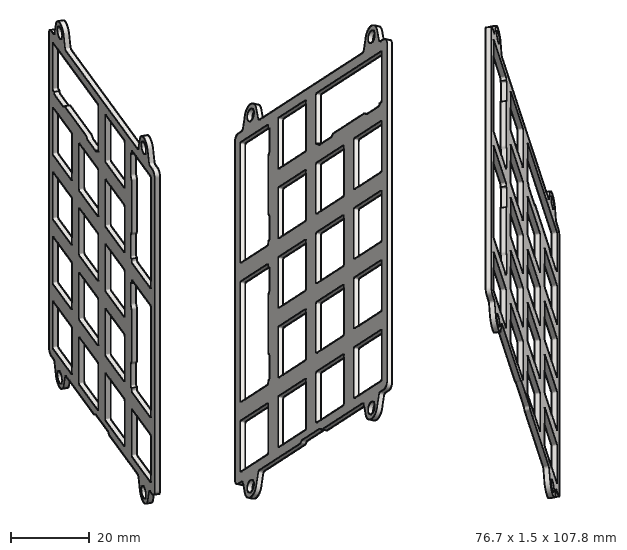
import cadquery as cq
import math

plate_width = 76.7
plate_height = 96.0
overall_height = 107.8
thickness = 1.5
plate_corner_radius = 1.7

columns = 4
rows = 5
key_pitch = 19.1
key_window = 14.0
window_corner_radius = 0.4

notch_spacing = 23.8
notch_length = 7.1
notch_corner_radius = 0.5

ear_spacing = 60.9
ear_radius = 3.0
ear_hole_diameter = 3.3
ear_side_angle = math.radians(17)
ear_root_radius = 0.8

relief_length = 9.9

recess_depth = 0.6
step_radius = 1.0
step_width = 2 * math.sqrt(step_radius**2 - (step_radius - recess_depth / 2) ** 2)

half_height = plate_height / 2
ear_center_z = overall_height / 2 - ear_radius
edge_tolerance = 0.05


def block(length, height, x=0.0, z=0.0):
    """Rectangular block as thick as the plate, centred at (x, z)."""
    return cq.Workplane("XY").box(length, thickness, height).translate((x, 0, z))


def grid_position(column, row):
    """Centre of a grid cell; columns count from the left and rows from the top."""
    x = (column - (columns - 1) / 2) * key_pitch
    z = ((rows - 1) / 2 - row) * key_pitch
    return x, z


def round_edges_at_height(body, z, x_min, x_max, radius):
    """Round the edges through the thickness that lie at height z between x_min and x_max."""
    corner = (x_min - edge_tolerance, -thickness, z - edge_tolerance)
    opposite = (x_max + edge_tolerance, thickness, z + edge_tolerance)
    return body.edges("|Y").edges(cq.selectors.BoxSelector(corner, opposite)).fillet(radius)


def make_ear():
    """Top ear at x = 0, with a round tip and tapered sides, and half its width at the root."""
    tangent_x = ear_radius * math.cos(ear_side_angle)
    tangent_z = ear_center_z + ear_radius * math.sin(ear_side_angle)
    root_x = tangent_x + (tangent_z - half_height) * math.tan(ear_side_angle)
    buried_z = half_height - plate_corner_radius
    ear = (
        cq.Workplane("XZ")
        .moveTo(-root_x, buried_z)
        .lineTo(-root_x, half_height)
        .lineTo(-tangent_x, tangent_z)
        .threePointArc((0, overall_height / 2), (tangent_x, tangent_z))
        .lineTo(root_x, half_height)
        .lineTo(root_x, buried_z)
        .close()
        .extrude(thickness / 2, both=True)
    )
    return ear, root_x


def make_plate():
    """Rounded plate with four ears blended into its top and bottom edges."""
    plate = block(plate_width, plate_height).edges("|Y").fillet(plate_corner_radius)
    top_ear, root_x = make_ear()
    bottom_ear = top_ear.mirror("XY")
    ear_positions = (-ear_spacing / 2, ear_spacing / 2)
    for x in ear_positions:
        plate = plate.union(top_ear.translate((x, 0, 0)))
        plate = plate.union(bottom_ear.translate((x, 0, 0)))
    for x in ear_positions:
        for z in (-half_height, half_height):
            plate = round_edges_at_height(plate, z, x - root_x, x + root_x, ear_root_radius)
    holes = (
        cq.Workplane("XZ")
        .rect(ear_spacing, 2 * ear_center_z, forConstruction=True)
        .vertices()
        .circle(ear_hole_diameter / 2)
        .extrude(thickness, both=True)
    )
    return plate.cut(holes)


def smooth_half_recess(length):
    """Half of a recess sunk below z = 0, from its middle at x = 0 to an S-shaped step on the right."""
    step_x = length / 2
    return (
        cq.Workplane("XZ")
        .moveTo(0, -recess_depth)
        .lineTo(step_x - step_width / 2, -recess_depth)
        .tangentArcPoint((step_x, -recess_depth / 2), relative=False)
        .tangentArcPoint((step_x + step_width / 2, 0), relative=False)
        .lineTo(step_x + step_width / 2, recess_depth)
        .lineTo(0, recess_depth)
        .close()
        .extrude(thickness / 2, both=True)
    )


def cut_bottom_relief(plate):
    """Shallow recess in the middle of the bottom edge, with a smooth step at each end."""
    half_relief = smooth_half_recess(relief_length).mirror("XY")
    relief = half_relief.union(half_relief.mirror("YZ")).translate((0, 0, -half_height))
    return plate.cut(relief)


def single_window():
    """Square window for one key, with rounded corners."""
    return block(key_window, key_window).edges("|Y").fillet(window_corner_radius)


def left_notch():
    """Notch sunk below z = 0: a square end with a rounded corner at left, a smooth step at right."""
    square_half = block(notch_length / 2, 2 * recess_depth, -notch_length / 4)
    square_half = square_half.edges("|Y").edges("<X").edges("<Z").fillet(notch_corner_radius)
    return square_half.union(smooth_half_recess(notch_length))


def double_window():
    """Window two keys long in X, with two mirrored notches along its lower side."""
    length = key_pitch + key_window
    window = block(length, key_window).edges("|Y").fillet(window_corner_radius)
    notch = left_notch().translate((-notch_spacing / 2, 0, -key_window / 2))
    return window.union(notch).union(notch.mirror("YZ"))


def cut_windows(plate):
    """Single windows everywhere except one wide and two tall double windows."""
    wide_window = double_window()
    tall_window = wide_window.rotate((0, 0, 0), (0, 1, 0), 90)
    last_column = columns - 1

    wide_x, wide_z = grid_position(0.5, 0)
    plate = plate.cut(wide_window.translate((wide_x, 0, wide_z)))
    for first_row in (0, 2):
        x, z = grid_position(last_column, first_row + 0.5)
        plate = plate.cut(tall_window.translate((x, 0, z)))

    for row in range(rows):
        for column in range(columns):
            under_wide = row == 0 and column < 2
            under_tall = column == last_column and row < rows - 1
            if not (under_wide or under_tall):
                x, z = grid_position(column, row)
                plate = plate.cut(single_window().translate((x, 0, z)))
    return plate


result = cut_windows(cut_bottom_relief(make_plate()))